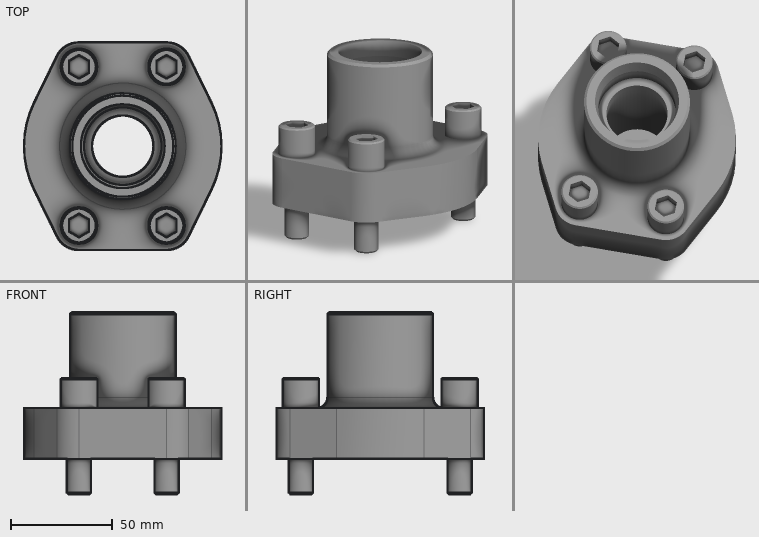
import cadquery as cq
import math

bolt_spacing_x = 42.9
bolt_spacing_y = 77.8
bolt_x = bolt_spacing_x / 2
bolt_y = bolt_spacing_y / 2

plate_width = 97.0
plate_length = 102.0
plate_thickness = 25.0
side_radius = plate_width / 2
corner_radius = plate_length / 2 - bolt_y

spigot_diameter = 52.0
spigot_height = 47.0
spigot_top = plate_thickness + spigot_height
spigot_chamfer = 1.2
root_fillet = 5.0

through_diameter = 30.0
seat_diameter = 38.0
seat_depth = 16.0
mouth_diameter = 41.2
mouth_depth = 7.3

shank_diameter = 12.0
shank_protrusion = 17.4
shank_chamfer = 1.0
head_diameter = 18.0
head_height = 14.6
head_chamfer = 0.7
socket_flats = 10.0
socket_depth = 6.0
hexagon_sides = 6


def make_plate():
    centre_distance = math.hypot(bolt_x, bolt_y)
    normal_angle = math.atan2(bolt_y, bolt_x) - math.acos((side_radius - corner_radius) / centre_distance)

    def on_side(angle):
        return side_radius * math.cos(angle), side_radius * math.sin(angle)

    def on_corner(angle):
        return bolt_x + corner_radius * math.cos(angle), bolt_y + corner_radius * math.sin(angle)

    def mirrored(point, x_sign, y_sign):
        return x_sign * point[0], y_sign * point[1]

    side_end = on_side(normal_angle)
    corner_start = on_corner(normal_angle)
    corner_middle = on_corner((normal_angle + math.pi / 2) / 2)
    corner_end = on_corner(math.pi / 2)

    outline = (
        cq.Workplane("XY")
        .moveTo(*mirrored(side_end, 1, -1))
        .threePointArc((side_radius, 0), side_end)
        .lineTo(*corner_start)
        .threePointArc(corner_middle, corner_end)
        .lineTo(*mirrored(corner_end, -1, 1))
        .threePointArc(mirrored(corner_middle, -1, 1), mirrored(corner_start, -1, 1))
        .lineTo(*mirrored(side_end, -1, 1))
        .threePointArc((-side_radius, 0), mirrored(side_end, -1, -1))
        .lineTo(*mirrored(corner_start, -1, -1))
        .threePointArc(mirrored(corner_middle, -1, -1), mirrored(corner_end, -1, -1))
        .lineTo(*mirrored(corner_end, 1, -1))
        .threePointArc(mirrored(corner_middle, 1, -1), mirrored(corner_start, 1, -1))
        .close()
    )
    return outline.extrude(plate_thickness)


def make_spigot():
    radius = spigot_diameter / 2
    arc_inset = root_fillet * (1 - math.cos(math.pi / 4))
    return (
        cq.Workplane("XZ")
        .lineTo(radius + root_fillet, 0)
        .lineTo(radius + root_fillet, plate_thickness)
        .threePointArc(
            (radius + arc_inset, plate_thickness + arc_inset),
            (radius, plate_thickness + root_fillet),
        )
        .lineTo(radius, spigot_top - spigot_chamfer)
        .lineTo(radius - spigot_chamfer, spigot_top)
        .lineTo(0, spigot_top)
        .close()
        .revolve(360, (0, 0), (0, 1))
    )


def make_bore():
    return (
        cq.Workplane("XZ")
        .lineTo(through_diameter / 2, 0)
        .lineTo(through_diameter / 2, spigot_top - seat_depth)
        .lineTo(seat_diameter / 2, spigot_top - seat_depth)
        .lineTo(seat_diameter / 2, spigot_top - mouth_depth)
        .lineTo(mouth_diameter / 2, spigot_top)
        .lineTo(0, spigot_top)
        .close()
        .revolve(360, (0, 0), (0, 1))
    )


def make_bolt():
    shank = (
        cq.Workplane("XY")
        .workplane(offset=-shank_protrusion)
        .circle(shank_diameter / 2)
        .extrude(shank_protrusion + plate_thickness)
        .faces("<Z")
        .chamfer(shank_chamfer)
    )
    head = (
        cq.Workplane("XY")
        .workplane(offset=plate_thickness)
        .circle(head_diameter / 2)
        .extrude(head_height)
        .faces(">Z")
        .chamfer(head_chamfer)
    )
    socket = (
        cq.Workplane("XY")
        .workplane(offset=plate_thickness + head_height - socket_depth)
        .transformed(rotate=(0, 0, 90))
        .polygon(hexagon_sides, socket_flats / math.cos(math.pi / hexagon_sides))
        .extrude(socket_depth)
    )
    return shank.union(head).cut(socket)


result = make_plate().union(make_spigot()).cut(make_bore())
bolt = make_bolt()
for x_sign in (-1, 1):
    for y_sign in (-1, 1):
        result = result.union(bolt.translate((x_sign * bolt_x, y_sign * bolt_y, 0)))